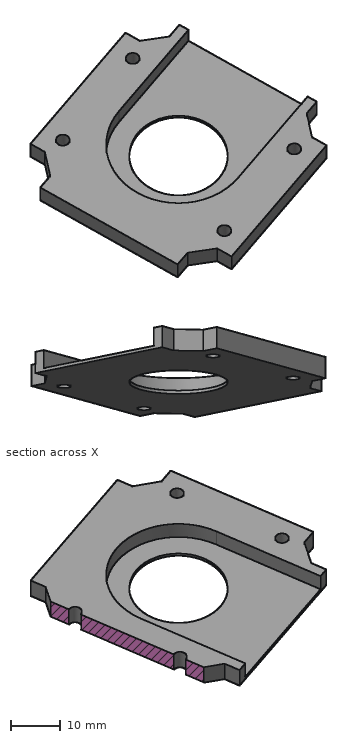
import cadquery as cq

side = 49.8
thickness = 4.5
tab_width = 34.0
notch_depth = 3.6

pocket_width = 29.5
pocket_depth = 3.8

bore_diameter = 20.0
screw_diameter = 2.8
screw_spacing_x = 40.0
screw_spacing_y = 25.0

half_side = side / 2
half_tab = tab_width / 2
shoulder = half_side - notch_depth


def make_plate():
    """Square plate with a chamfered notch cut from each corner."""
    plate = cq.Workplane("XY").rect(side, side).extrude(thickness)
    for sign_x in (-1, 1):
        for sign_y in (-1, 1):
            outline = [
                (half_side, half_tab),
                (shoulder, half_tab),
                (half_tab, shoulder),
                (half_tab, half_side),
                (half_side, half_side),
            ]
            corner = [(sign_x * x, sign_y * y) for x, y in outline]
            plate = plate.cut(cq.Workplane("XY").polyline(corner).close().extrude(thickness))
    return plate


def make_pocket():
    """Cutter for the pocket: a half circle about the bore, run straight out to +Y."""
    radius = pocket_width / 2
    return (
        cq.Workplane("XY", origin=(0, 0, thickness - pocket_depth))
        .moveTo(-radius, half_side)
        .lineTo(-radius, 0)
        .threePointArc((0, -radius), (radius, 0))
        .lineTo(radius, half_side)
        .close()
        .extrude(pocket_depth)
    )


def make_holes():
    """Cutters for the central bore and the four screw holes."""
    bore = cq.Workplane("XY").circle(bore_diameter / 2).extrude(thickness)
    screws = (
        cq.Workplane("XY")
        .rect(screw_spacing_x, screw_spacing_y, forConstruction=True)
        .vertices()
        .circle(screw_diameter / 2)
        .extrude(thickness)
    )
    return bore.union(screws)


result = make_plate().cut(make_pocket()).cut(make_holes())